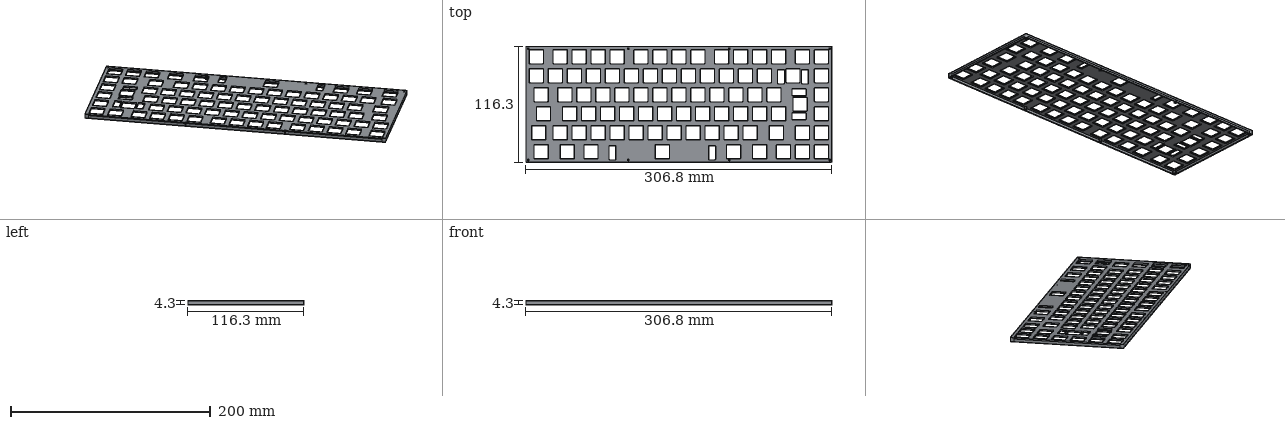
import cadquery as cq
LENGTH = 306.8
WIDTH = 116.3
HEIGHT = 4.3
MARGIN = 1.0
COLUMNS = 16
ROWS = 6
COLUMN_PITCH = (LENGTH - 2 * MARGIN) / COLUMNS
ROW_PITCH = (WIDTH - 2 * MARGIN) / ROWS

SHEET_THICKNESS = 1.6
RIM_THICKNESS = MARGIN
OUTER_CORNER_RADIUS = 1.0

KEY_OPENING = 14.0
STABILIZER_LENGTH = KEY_OPENING
STABILIZER_WIDTH = 6.7
STABILIZER_SHIFT = 1.0
SHORT_SPREAD = 12.0
SPACE_BAR_SPREAD = 50.0
OPENING_CORNER_RADIUS = 0.5

BOSS_RADIUS = 1.38
BOSS_INSET = 2.3
INNER_BOSS_X = 50.5
SCREW_HOLE_DIAMETER = 1.6
SCREW_HOLE_ROOF = 1.0

BACKSPACE = (14, 1.5)
SPACE_BAR = (7.125, 5.5)
ENTER = (14.375, 3)


def key_run(first, count):
    """Centres of neighbouring one-unit keys."""
    return [first + i for i in range(count)]


KEY_ROWS = [
    [0.5] + key_run(1.75, 4) + key_run(6, 4) + key_run(10.25, 4) + key_run(14.5, 2),
    key_run(0.5, 13) + [BACKSPACE[0], 15.5],
    [0.75] + key_run(2, 12) + [15.5],
    [0.875] + key_run(2.25, 12) + [15.5],
    [0.625] + key_run(1.75, 11) + [13.125] + key_run(14.5, 2),
    [0.75, 2.125, 3.375, SPACE_BAR[0], 10.875, 12.25] + key_run(13.5, 3),
]


def grid_point(column, row):
    """Position of a point of the key grid, with the plate centred on the origin."""
    return ((column - COLUMNS / 2) * COLUMN_PITCH, (ROWS / 2 - row) * ROW_PITCH)


def openings(points, size_x, size_y):
    """Rectangular cutters with rounded corners, through the full height."""
    return (
        cq.Workplane("XY")
        .pushPoints(points)
        .rect(size_x, size_y)
        .extrude(HEIGHT)
        .edges("|Z")
        .fillet(OPENING_CORNER_RADIUS)
    )


def key_openings():
    points = [grid_point(column, row + 0.5) for row, keys in enumerate(KEY_ROWS) for column in keys]
    points.append(grid_point(*ENTER))
    return openings(points, KEY_OPENING, KEY_OPENING)


def sideways_stabilizers():
    """Openings left and right of the backspace key and the space bar."""
    points = []
    for key, spread in ((BACKSPACE, SHORT_SPREAD), (SPACE_BAR, SPACE_BAR_SPREAD)):
        x, y = grid_point(*key)
        points += [(x + side * spread, y - STABILIZER_SHIFT) for side in (-1, 1)]
    return openings(points, STABILIZER_WIDTH, STABILIZER_LENGTH)


def enter_stabilizers():
    """Openings behind and in front of the enter key."""
    x, y = grid_point(*ENTER)
    points = [(x - STABILIZER_SHIFT, y + side * SHORT_SPREAD) for side in (-1, 1)]
    return openings(points, STABILIZER_LENGTH, STABILIZER_WIDTH)


def boss_points():
    """Boss centres: four along the front wall and four along the back wall."""
    corner_x = LENGTH / 2 - BOSS_INSET
    boss_y = WIDTH / 2 - BOSS_INSET
    return [
        (x, y)
        for x in (-corner_x, -INNER_BOSS_X, INNER_BOSS_X, corner_x)
        for y in (-boss_y, boss_y)
    ]


def corner_fill():
    """Material that joins each corner boss to the two walls beside it."""
    corners = [(i * LENGTH / 2, j * WIDTH / 2) for i in (-1, 1) for j in (-1, 1)]
    near = 2 * BOSS_INSET
    far = 2 * (BOSS_INSET + BOSS_RADIUS)
    along_x = cq.Workplane("XY").pushPoints(corners).rect(far, near).extrude(HEIGHT)
    along_y = cq.Workplane("XY").pushPoints(corners).rect(near, far).extrude(HEIGHT)
    return along_x.union(along_y)


def pocket():
    """Hollow under the sheet, leaving the rim and the bosses."""
    bosses = cq.Workplane("XY").pushPoints(boss_points()).circle(BOSS_RADIUS).extrude(HEIGHT)
    return (
        cq.Workplane("XY")
        .rect(LENGTH - 2 * RIM_THICKNESS, WIDTH - 2 * RIM_THICKNESS)
        .extrude(HEIGHT - SHEET_THICKNESS)
        .cut(bosses)
        .cut(corner_fill())
    )


def screw_holes():
    return (
        cq.Workplane("XY")
        .pushPoints(boss_points())
        .circle(SCREW_HOLE_DIAMETER / 2)
        .extrude(HEIGHT - SCREW_HOLE_ROOF)
    )


def make_plate():
    """Keyboard plate with a rim, standing on Z = 0."""
    blank = (
        cq.Workplane("XY")
        .rect(LENGTH, WIDTH)
        .extrude(HEIGHT)
        .edges("|Z")
        .fillet(OUTER_CORNER_RADIUS)
    )
    return (
        blank.cut(pocket())
        .cut(key_openings())
        .cut(sideways_stabilizers())
        .cut(enter_stabilizers())
        .cut(screw_holes())
    )


plate = make_plate()

result = cq.Compound.makeCompound([plate.val()])